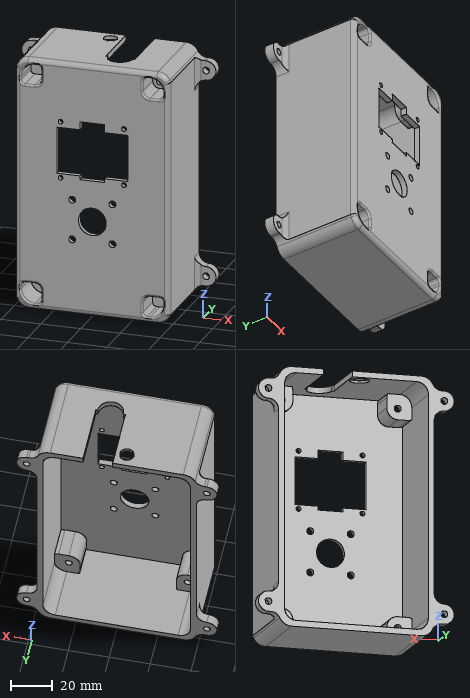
import cadquery as cq
import math

WIDTH = 78.0
HEIGHT = 128.0
DEPTH = 45.0
WALL = 3.0
CAVITY_CORNER_R = 6.0
CORNER_R = 6.5
FRONT_FILLET_R = 2.5

EAR_R = 5.0
EAR_THICKNESS = 5.0
EAR_X = WIDTH / 2 + EAR_R
EAR_Z = 52.5
EAR_BLEND_R = EAR_R
EAR_ROOT_R = 2.5
SCREW_HOLE_D = 3.25

POCKET_X = 29.0
POCKET_Z = 54.0
POCKET_OUTER_R = 7.0
POCKET_INNER_R = 3.5
POCKET_CORNER_R = 2.0
POCKET_MOUTH_R = 1.0
POCKET_DEPTH = 15.0
POCKET_FLOOR = 3.0
POST_WALL = 2.0
POCKET_FLOOR_Y = POCKET_DEPTH - DEPTH
POST_BACK_Y = POCKET_FLOOR_Y + POCKET_FLOOR

WINDOW_WIDTH = 35.6
WINDOW_BOTTOM = 7.0
WINDOW_TOP = 30.4
TAB_WIDTH = 12.2
TAB_BOTTOM = 5.1
TAB_TOP = 34.5
DISPLAY_HOLE_D = 2.25
DISPLAY_HOLE_X = 16.0
DISPLAY_HOLE_LOW_Z = 4.9
DISPLAY_HOLE_HIGH_Z = 33.5

KNOB_HOLE_D = 13.8
KNOB_Z = -15.8
KNOB_SCREW_D = 3.3
KNOB_SCREW_OFFSET = 10.15

SLOT_X = 9.25
SLOT_WIDTH = 14.4
SLOT_STRAIGHT = 30.2
SLOT_END_R = 6.25
CABLE_HOLE_D = 6.75
CABLE_HOLE_X = -3.6
CABLE_HOLE_Y = -6.6
CABLE_SEAT_D = 9.5
CABLE_SEAT_DEPTH = 1.2

SIGNS = (-1, 1)
QUADRANTS = [(sx, sz) for sx in SIGNS for sz in SIGNS]


def front_plane(y):
    """Sketch plane at the given Y, with local axes X and Z, extruding toward -Y."""
    return cq.Workplane("XZ", origin=(0, y, 0))


def box(x0, x1, y0, y1, z0, z1):
    """Box given by its limits on each axis."""
    return cq.Workplane("XY").box(x1 - x0, y1 - y0, z1 - z0, centered=False).translate((x0, y0, z0))


def place(shape, sx, sz):
    """Mirror a shape made for the +X, +Z quadrant into the given quadrant."""
    if sx < 0:
        shape = shape.mirror("YZ")
    if sz < 0:
        shape = shape.mirror("XY")
    return shape


def ear_profile():
    """Full-depth ear with a blend tangent to the rounded body corner and one tangent to the side."""
    side = WIDTH / 2
    corner_x = side - CORNER_R
    corner_z = HEIGHT / 2 - CORNER_R
    ear_top = EAR_Z + EAR_R
    ear_bottom = EAR_Z - EAR_R

    blend_z = ear_top + EAR_BLEND_R
    centre_gap = CORNER_R + EAR_BLEND_R
    blend_x = corner_x + math.sqrt(centre_gap ** 2 - (blend_z - corner_z) ** 2)
    to_corner = math.atan2(corner_z - blend_z, corner_x - blend_x) % (2 * math.pi)
    straight_down = 1.5 * math.pi

    def on_blend(angle):
        return (blend_x + EAR_BLEND_R * math.cos(angle), blend_z + EAR_BLEND_R * math.sin(angle))

    diagonal = EAR_BLEND_R * math.sqrt(0.5)
    lower_z = ear_bottom - EAR_BLEND_R
    return (
        front_plane(0)
        .moveTo(corner_x, lower_z)
        .lineTo(side, lower_z)
        .threePointArc((EAR_X - diagonal, lower_z + diagonal), (EAR_X, ear_bottom))
        .threePointArc((EAR_X + EAR_R, EAR_Z), (EAR_X, ear_top))
        .lineTo(blend_x, ear_top)
        .threePointArc(on_blend((straight_down + to_corner) / 2), on_blend(to_corner))
        .lineTo(corner_x, corner_z)
        .close()
        .extrude(DEPTH)
    )


def outer_body():
    """Rounded block with the ears cut back to a thin flange and a concave root."""
    body = front_plane(0).rect(WIDTH, HEIGHT).extrude(DEPTH).edges("|Y").fillet(CORNER_R)
    for sx, sz in QUADRANTS:
        body = body.union(place(ear_profile(), sx, sz))

    side = WIDTH / 2
    reach = EAR_X + 2 * EAR_R
    root_offset = EAR_ROOT_R * (1 - math.sqrt(0.5))
    ear_clearance = (
        cq.Workplane("XY")
        .moveTo(side, -DEPTH)
        .lineTo(side, -EAR_THICKNESS - EAR_ROOT_R)
        .threePointArc(
            (side + root_offset, -EAR_THICKNESS - root_offset),
            (side + EAR_ROOT_R, -EAR_THICKNESS),
        )
        .lineTo(reach, -EAR_THICKNESS)
        .lineTo(reach, -DEPTH)
        .close()
        .extrude(HEIGHT / 2, both=True)
    )
    body = body.cut(ear_clearance).cut(ear_clearance.mirror("YZ"))
    return body.faces("<Y").edges().fillet(FRONT_FILLET_R)


def pocket_profile(y, grow):
    """Pocket outline around a corner screw, enlarged by grow on every side."""
    far = POCKET_OUTER_R + grow
    near = POCKET_INNER_R + grow
    small = POCKET_CORNER_R + grow
    half_root = math.sqrt(0.5)
    mid = small * (1 - half_root)
    return (
        cq.Workplane("XZ", origin=(POCKET_X, y, POCKET_Z))
        .moveTo(far, 0)
        .threePointArc((far * half_root, far * half_root), (0, far))
        .lineTo(small - near, far)
        .threePointArc((mid - near, far - mid), (-near, far - small))
        .lineTo(-near, 0)
        .threePointArc((-near * half_root, -near * half_root), (0, -near))
        .lineTo(far - small, -near)
        .threePointArc((far - mid, mid - near), (far, small - near))
        .close()
    )


def interior():
    """Cavity open at the back, minus the short posts that enclose the corner pockets."""
    half_x = WIDTH / 2 - WALL
    half_z = HEIGHT / 2 - WALL
    cavity = box(-half_x, half_x, WALL - DEPTH, 0, -half_z, half_z)
    cavity = cavity.edges("|Y").fillet(CAVITY_CORNER_R)
    post = pocket_profile(POST_BACK_Y, POST_WALL).extrude(DEPTH + POST_BACK_Y)
    for sx, sz in QUADRANTS:
        cavity = cavity.cut(place(post, sx, sz))
    return cavity


def pocket_mouth():
    """Space removed by rounding the pocket's front edge."""
    reach = POCKET_OUTER_R + 2 * POCKET_MOUTH_R
    slab_back = 2 * POCKET_MOUTH_R - DEPTH
    slab = box(-reach, reach, -DEPTH, slab_back, -reach, reach).translate((POCKET_X, 0, POCKET_Z))
    rounded = slab.cut(pocket_profile(POCKET_FLOOR_Y, 0).extrude(POCKET_DEPTH))
    rounded = rounded.faces("<Y").wires(cq.selectors.AreaNthSelector(0)).fillet(POCKET_MOUTH_R)
    return slab.cut(rounded)


def screw_pocket():
    """Pocket from the front face with a rounded mouth and a screw hole through its floor."""
    pocket = pocket_profile(POCKET_FLOOR_Y, 0).extrude(POCKET_DEPTH)
    hole = front_plane(0).center(POCKET_X, POCKET_Z).circle(SCREW_HOLE_D / 2).extrude(DEPTH)
    return pocket.union(pocket_mouth()).union(hole)


def front_holes(points, diameter):
    """Round holes through the front wall."""
    return front_plane(WALL - DEPTH).pushPoints(points).circle(diameter / 2).extrude(WALL)


def display_window():
    """Rectangular window with a tab opening in the middle of its top and bottom edges."""
    y0 = -DEPTH
    y1 = WALL - DEPTH
    window = box(-WINDOW_WIDTH / 2, WINDOW_WIDTH / 2, y0, y1, WINDOW_BOTTOM, WINDOW_TOP)
    return window.union(box(-TAB_WIDTH / 2, TAB_WIDTH / 2, y0, y1, TAB_BOTTOM, TAB_TOP))


def top_openings():
    """Slot open at the back with a narrower round end, and a cable hole with a seat on the inside."""
    z0 = HEIGHT / 2 - WALL
    z1 = HEIGHT / 2
    wall_plane = cq.Workplane("XY", origin=(0, 0, z0))
    slot = box(SLOT_X - SLOT_WIDTH / 2, SLOT_X + SLOT_WIDTH / 2, -SLOT_STRAIGHT, 0, z0, z1)
    slot_end = wall_plane.center(SLOT_X, -SLOT_STRAIGHT).circle(SLOT_END_R).extrude(WALL)
    cable_hole = wall_plane.center(CABLE_HOLE_X, CABLE_HOLE_Y).circle(CABLE_HOLE_D / 2).extrude(WALL)
    cable_seat = (
        wall_plane.center(CABLE_HOLE_X, CABLE_HOLE_Y).circle(CABLE_SEAT_D / 2).extrude(CABLE_SEAT_DEPTH)
    )
    return slot.union(slot_end).union(cable_hole).union(cable_seat)


def build():
    """Hollow the body and cut every opening."""
    body = outer_body().cut(interior())
    for sx, sz in QUADRANTS:
        body = body.cut(place(screw_pocket(), sx, sz))

    ear_points = [(sx * EAR_X, sz * EAR_Z) for sx, sz in QUADRANTS]
    ear_holes = front_plane(0).pushPoints(ear_points).circle(SCREW_HOLE_D / 2).extrude(EAR_THICKNESS)
    display_points = [
        (sx * DISPLAY_HOLE_X, z) for sx in SIGNS for z in (DISPLAY_HOLE_LOW_Z, DISPLAY_HOLE_HIGH_Z)
    ]
    knob_points = [
        (sx * KNOB_SCREW_OFFSET, KNOB_Z + sz * KNOB_SCREW_OFFSET) for sx, sz in QUADRANTS
    ]
    return (
        body.cut(ear_holes)
        .cut(display_window())
        .cut(front_holes(display_points, DISPLAY_HOLE_D))
        .cut(front_holes([(0, KNOB_Z)], KNOB_HOLE_D))
        .cut(front_holes(knob_points, KNOB_SCREW_D))
        .cut(top_openings())
    )


result = build()